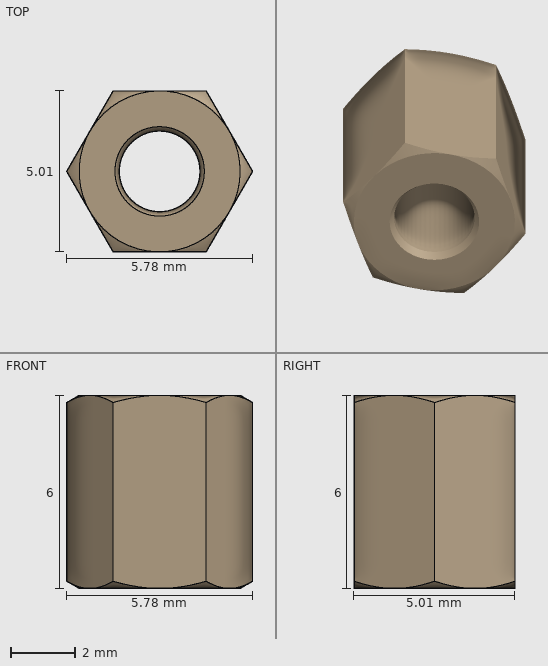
import cadquery as cq
import math

across_corners = 5.78
length = 6.0

end_face_diameter = 5.0
bevel_angle = 30.0

bore_diameter = 2.5
mouth_diameter = 2.78
countersink_angle = 60.0


def hexagonal_prism():
    return cq.Workplane("XY").polygon(6, across_corners).extrude(length)


def bevel_envelope():
    """Turned blank, coned at both ends, that the prism is trimmed to."""
    face_radius = end_face_diameter / 2
    blank_radius = across_corners / 2
    bevel_height = (blank_radius - face_radius) * math.tan(math.radians(bevel_angle))
    profile = (
        cq.Workplane("XZ")
        .lineTo(face_radius, 0)
        .lineTo(blank_radius, bevel_height)
        .lineTo(blank_radius, length - bevel_height)
        .lineTo(face_radius, length)
        .lineTo(0, length)
        .close()
    )
    return profile.revolve(360, (0, 0), (0, 1))


def countersunk_bore():
    """Solid of the bore, flared at both ends."""
    bore_radius = bore_diameter / 2
    mouth_radius = mouth_diameter / 2
    countersink_depth = (mouth_radius - bore_radius) / math.tan(math.radians(countersink_angle / 2))
    profile = (
        cq.Workplane("XZ")
        .lineTo(mouth_radius, 0)
        .lineTo(bore_radius, countersink_depth)
        .lineTo(bore_radius, length - countersink_depth)
        .lineTo(mouth_radius, length)
        .lineTo(0, length)
        .close()
    )
    return profile.revolve(360, (0, 0), (0, 1))


result = hexagonal_prism().intersect(bevel_envelope()).cut(countersunk_bore())